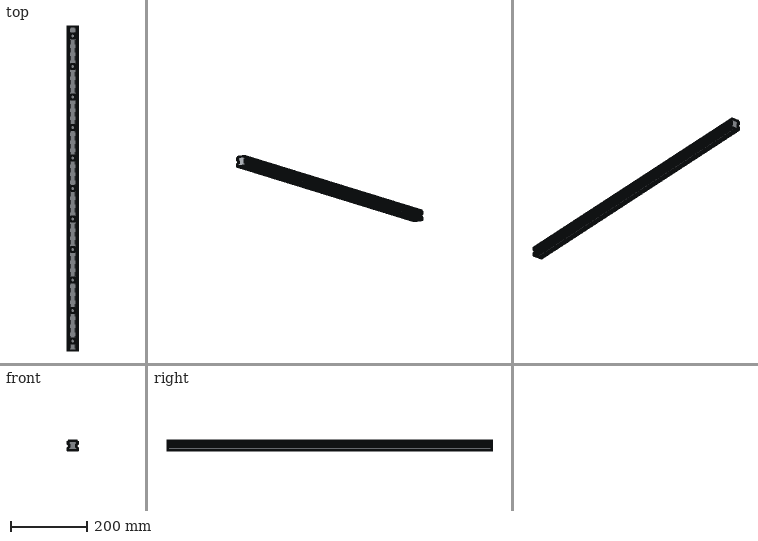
import cadquery as cq

LENGTH = 850.0
WIDTH = 28.0
HEIGHT = 26.0

HALF_WIDTH = WIDTH / 2
TOP_HALF_WIDTH = 9.3
WAIST_HALF_WIDTH = 9.25
HEAD_UPPER_Z = 21.3
HEAD_LOWER_Z = 18.8
WAIST_UPPER_Z = 12.6
WAIST_LOWER_Z = 9.8
FOOT_UPPER_Z = 5.3
FOOT_ROUND_RADIUS = 1.5
FOOT_CHAMFER = 1.5

TRACK_RADIUS = 2.8
LOWER_TRACK_SPAN = (0.12, 0.68)
UPPER_TRACK_SPAN = (0.27, 0.89)

NOTCH_OFFSET = 6.2
NOTCH_WIDTH = 1.6
NOTCH_DEPTH = 1.1

RECESS_DIAMETER = 14.0
RECESS_DEPTH = 0.2
RECESS_PITCH = 80.0
RECESS_COUNT = 11


def point_between(start, end, fraction):
    """Point at the given fraction of the way from start to end."""
    return tuple(a + (b - a) * fraction for a, b in zip(start, end))


def add_flank(outline, start, end, track_span):
    """Continue the outline along a straight flank that has a concave track let into it."""
    track_start = point_between(start, end, track_span[0])
    track_end = point_between(start, end, track_span[1])
    return outline.lineTo(*track_start).radiusArc(track_end, TRACK_RADIUS).lineTo(*end)


def make_bar():
    """Extrude the symmetric rail section along Y, centred on the origin."""
    waist_top = (WAIST_HALF_WIDTH, WAIST_UPPER_Z)
    head_lower = (HALF_WIDTH, HEAD_LOWER_Z)
    head_upper = (HALF_WIDTH, HEAD_UPPER_Z)
    top_corner = (TOP_HALF_WIDTH, HEIGHT)

    outline = (
        cq.Workplane("XZ")
        .moveTo(0, 0)
        .lineTo(HALF_WIDTH - FOOT_CHAMFER, 0)
        .lineTo(HALF_WIDTH, FOOT_CHAMFER)
        .lineTo(HALF_WIDTH, FOOT_UPPER_Z)
        .lineTo(WAIST_HALF_WIDTH, WAIST_LOWER_Z)
        .lineTo(*waist_top)
    )
    outline = add_flank(outline, waist_top, head_lower, LOWER_TRACK_SPAN)
    outline = outline.lineTo(*head_upper)
    outline = add_flank(outline, head_upper, top_corner, UPPER_TRACK_SPAN)
    section = outline.lineTo(0, HEIGHT).mirrorY()
    return section.extrude(LENGTH / 2, both=True)


def round_foot(bar):
    """Round the upper outer edges of the foot."""
    for side in (-1, 1):
        edge = cq.selectors.NearestToPointSelector((side * HALF_WIDTH, 0, FOOT_UPPER_Z))
        bar = bar.edges("|Y").edges(edge).fillet(FOOT_ROUND_RADIUS)
    return bar


def make_notch(center_x):
    """Cutter for one V-notch along the underside."""
    half = NOTCH_WIDTH / 2
    corners = [(center_x - half, 0), (center_x, NOTCH_DEPTH), (center_x + half, 0)]
    return cq.Workplane("XZ").polyline(corners).close().extrude(LENGTH / 2, both=True)


def make_recesses():
    """Cutters for the row of recesses, centred along the rail."""
    return (
        cq.Workplane("XY")
        .workplane(offset=HEIGHT - RECESS_DEPTH)
        .rarray(1, RECESS_PITCH, 1, RECESS_COUNT)
        .circle(RECESS_DIAMETER / 2)
        .extrude(RECESS_DEPTH)
    )


result = round_foot(make_bar())
for notch_x in (-NOTCH_OFFSET, NOTCH_OFFSET):
    result = result.cut(make_notch(notch_x))
result = result.cut(make_recesses())